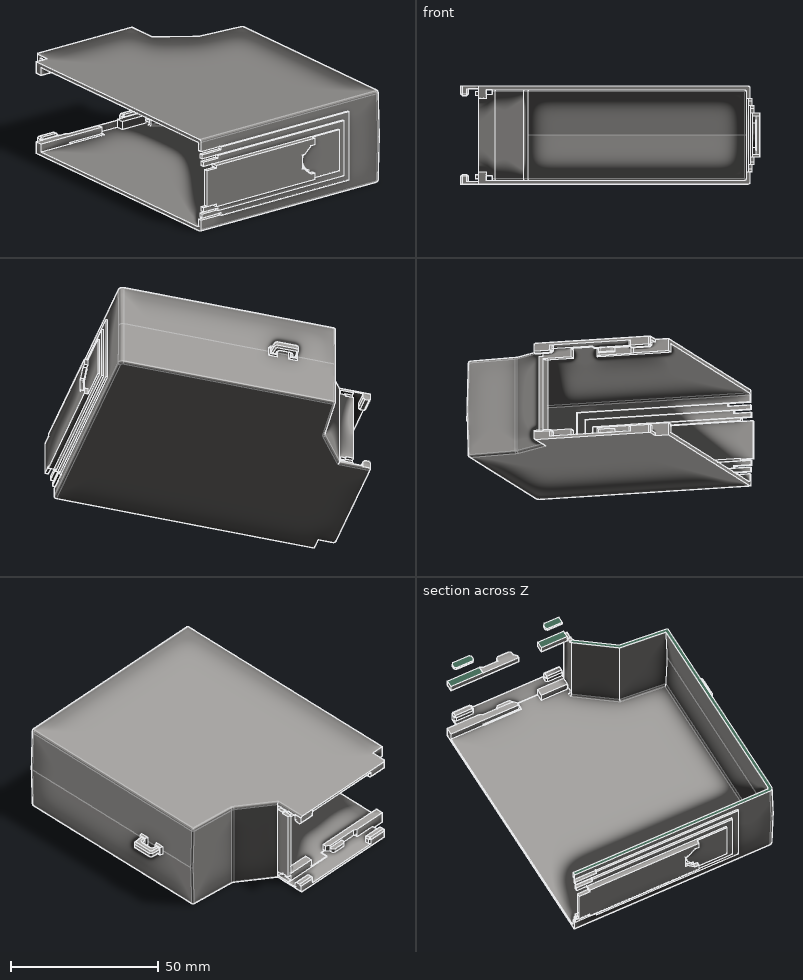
import cadquery as cq

HEIGHT = 33.4
HALF_HEIGHT = HEIGHT / 2
WALL = 1.3
BODY_RIGHT = 98.2
BACK_EDGE_Y = 76.4
BACK_PEAK_Y = 76.9
SHOULDER_Y = 46.0
LEDGE_CORNER_X = 11.0
SLOPE_TOP = (20.0, 58.6)
BACK_LEFT_X = 21.6
BACK_RIGHT_RADIUS = 1.5
BACK_LEFT_RADIUS = 0.6
SLOPE_TOP_RADIUS = 1.5
OUTER_EDGE_RADIUS = 0.8
INNER_EDGE_RADIUS = 0.6
OVERSHOOT = 5.1

FRAME_X = 6.0
LIP_Y = 4.7
LIP_THICKNESS = 0.96
LIP_CHAMFER = 0.6

HOOK_DEPTH = 2.6
HOOK_HEIGHT = 3.3
FRONT_HOOK_END = 12.3
REAR_HOOK_START = 39.7

RAIL_WIDTH = 2.7
RAIL_HALF_GAP = 12.5
REAR_RAIL_SPAN = (34.7, SHOULDER_Y - WALL)
FRONT_RAIL_LENGTH = 12.4

ARM_END = 26.1
ARM_SETBACK = 0.6
ARM_SLOPE = 1.1
ARM_FACE = 14.8
ARM_RELIEF_END = 27.1
TAB_SPAN = (19.2, ARM_END - ARM_SLOPE)
TAB_X = 5.0
TAB_HALF_GAP = 13.4
TAB_RADIUS = 1.0

LEDGE_HALF_WIDTH = 13.3
LEDGE_NOTCH_HALF_GAP = 13.8
LEDGE_NOTCH_END_X = 10.6

STEPS = (
    (RAIL_HALF_GAP, 98.8, 62.6, 8.1),
    (10.0, 99.5, 59.9, 6.2),
    (7.5, 100.1, 57.5, 4.1),
)
STEP_WALL = 1.2
STEP_SIDE = 0.96
PANEL_X = 101.4
PANEL_HALF_WIDTH = STEPS[-1][0]
TONGUE_EDGE_Y = 44.5
TONGUE_RADIUS = 4.6
TONGUE_TIP_Y = 41.8
WINDOW_Y = 40.9
WINDOW_SHOULDER_Y = 41.7
WINDOW_HALF_TIP = 2.5
WINDOW_HALF_BASE = 5.2

LOOP_CENTER_X = 40.4
LOOP_TOP_Y = 81.7
LOOP_BASE_WIDTH = 9.4
LOOP_TOP_WIDTH = 8.3
LOOP_HALF_THICKNESS = 1.3
LOOP_CORNER = 1.0
LOOP_CHAMFER = 0.6
LOOP_HOLE_WIDTH = 4.8
LOOP_HOLE_TOP_Y = 79.3
LOOP_HOLE_RADIUS = 0.8
FOOT_TOP_Y = 77.9
FOOT_HALF_THICKNESS = 1.6
FOOT_FLARE = 0.6


def block(x_span, y_span, z_span):
    """Axis-aligned box between three pairs of limits."""
    size = [high - low for low, high in (x_span, y_span, z_span)]
    return cq.Workplane("XY").box(*size, centered=False).translate((x_span[0], y_span[0], z_span[0]))


def mirrored(solid):
    """The solid together with its copy on the other side of Z = 0."""
    return solid.union(solid.mirror("XY"))


def tented(plan, half_height, edge_y, peak_y):
    """Extrude a plan symmetrically in Z and slope its back face to a peak at Z = 0."""
    prism = plan.extrude(half_height, both=True)
    profile = (
        cq.Workplane("YZ", origin=(-OVERSHOOT, 0, 0))
        .polyline([
            (-OVERSHOOT, -half_height), (edge_y, -half_height), (peak_y, 0),
            (edge_y, half_height), (-OVERSHOOT, half_height),
        ])
        .close()
        .extrude(PANEL_X + 2 * OVERSHOOT)
    )
    return prism.intersect(profile)


def plan_outline(left_x, front_y, inset):
    """Housing plan; the back wall stands past its peak until it is sloped."""
    outline = (
        cq.Workplane("XY")
        .polyline([
            (left_x, front_y), (BODY_RIGHT, front_y), (BODY_RIGHT, BACK_PEAK_Y), (BACK_LEFT_X, BACK_PEAK_Y),
            SLOPE_TOP, (LEDGE_CORNER_X, SHOULDER_Y), (left_x, SHOULDER_Y),
        ])
        .close()
    )
    return outline.offset2D(-inset, "intersection") if inset else outline


def round_plate_edges(solid, radius):
    """Round the edges between the two side plates and the right, back and left walls."""
    plates = solid.faces("<Z or >Z").edges("not(<X or <Y)")
    return solid.newObject(plates.vals()).fillet(radius)


def round_upright(solid, corner, radius):
    """Round the upright edges that pass close to a plan point."""
    x, y = corner
    low = (x - WALL, y - WALL, -HALF_HEIGHT)
    high = (x + WALL, y + WALL, HALF_HEIGHT)
    near = cq.selectors.BoxSelector(low, high)
    return solid.edges("(not #Z) and (not |X)").edges(near).fillet(radius)


def housing():
    outer = tented(plan_outline(0, 0, 0), HALF_HEIGHT, BACK_EDGE_Y, BACK_PEAK_Y)
    for corner, radius in (
        ((BODY_RIGHT, BACK_PEAK_Y), BACK_RIGHT_RADIUS),
        ((BACK_LEFT_X, BACK_PEAK_Y), BACK_LEFT_RADIUS),
        (SLOPE_TOP, SLOPE_TOP_RADIUS),
    ):
        outer = round_upright(outer, corner, radius)
    outer = round_plate_edges(outer, OUTER_EDGE_RADIUS)
    cavity = tented(
        plan_outline(-OVERSHOOT, -OVERSHOOT, WALL), HALF_HEIGHT - WALL, BACK_EDGE_Y - WALL, BACK_PEAK_Y - WALL
    )
    cavity = round_upright(cavity, (BODY_RIGHT - WALL, BACK_PEAK_Y - WALL), INNER_EDGE_RADIUS)
    cavity = round_plate_edges(cavity, INNER_EDGE_RADIUS)
    shell = outer.cut(cavity)

    front_corner = (
        cq.Workplane("XY")
        .polyline([
            (-OVERSHOOT, -OVERSHOOT), (FRAME_X, -OVERSHOOT), (FRAME_X, LIP_Y), (LIP_CHAMFER, LIP_Y),
            (0, LIP_Y + LIP_CHAMFER), (-OVERSHOOT, LIP_Y + LIP_CHAMFER),
        ])
        .close()
        .extrude(HALF_HEIGHT, both=True)
    )
    lip_inside = HALF_HEIGHT - LIP_THICKNESS
    lip_gap = block((-OVERSHOOT, FRAME_X), (0, SHOULDER_Y + OVERSHOOT), (-lip_inside, lip_inside))
    return shell.cut(front_corner).cut(lip_gap)


def hooks():
    x_span = (0, HOOK_DEPTH)
    z_span = (HALF_HEIGHT - HOOK_HEIGHT, HALF_HEIGHT - LIP_THICKNESS / 2)
    front = block(x_span, (LIP_Y, FRONT_HOOK_END), z_span)
    front = front.edges("|Z or <Z").chamfer(LIP_CHAMFER)
    rear = block(x_span, (REAR_HOOK_START, SHOULDER_Y), z_span)
    rear = rear.edges("(|Z or <Z) and (not >Y)").chamfer(LIP_CHAMFER)
    return mirrored(front.union(rear))


def rails():
    x_span = (FRAME_X, FRAME_X + RAIL_WIDTH)
    z_span = (RAIL_HALF_GAP, HALF_HEIGHT - WALL / 2)
    rear = block(x_span, REAR_RAIL_SPAN, z_span)
    front = block(x_span, (0, FRONT_RAIL_LENGTH), z_span)
    return mirrored(rear.union(front))


def snap_arms():
    arm_x = FRAME_X + ARM_SETBACK
    rail_back = FRAME_X + RAIL_WIDTH
    arm = (
        cq.Workplane("XY", origin=(0, 0, RAIL_HALF_GAP))
        .polyline([
            (FRAME_X, FRONT_RAIL_LENGTH), (rail_back, FRONT_RAIL_LENGTH), (rail_back, ARM_END),
            (arm_x + ARM_SLOPE, ARM_END), (arm_x, ARM_END - ARM_SLOPE),
            (arm_x, FRONT_RAIL_LENGTH + ARM_SLOPE),
        ])
        .close()
        .extrude(ARM_FACE - RAIL_HALF_GAP)
    )
    tab = block((TAB_X, rail_back), TAB_SPAN, (TAB_HALF_GAP, ARM_FACE))
    tab = tab.edges("|Z and <X").fillet(TAB_RADIUS)
    return mirrored(arm.union(tab))


def arm_reliefs():
    """Thinned plate under each snap arm."""
    return mirrored(block(
        (FRAME_X, FRAME_X + RAIL_WIDTH), (FRONT_RAIL_LENGTH, ARM_RELIEF_END),
        (ARM_FACE, HALF_HEIGHT - LIP_THICKNESS),
    ))


def ledge_notches():
    y_span = (SHOULDER_Y - 2 * WALL, SHOULDER_Y + WALL)
    top = HALF_HEIGHT - WALL
    tip = block((FRAME_X, FRAME_X + RAIL_WIDTH), y_span, (LEDGE_HALF_WIDTH, top))
    gap = block((FRAME_X + RAIL_WIDTH, LEDGE_NOTCH_END_X), y_span, (LEDGE_NOTCH_HALF_GAP, top))
    return mirrored(tip.union(gap))


def stepped_wall(body):
    """Step the right wall outwards towards mid height as a thin folded sheet."""
    inside_x = BODY_RIGHT - WALL
    for half_width, outer_x, back_y, _ in STEPS:
        body = body.union(block((inside_x, outer_x), (0, back_y), (-half_width, half_width)))
    body = body.union(block((inside_x, PANEL_X), (0, SHOULDER_Y), (-PANEL_HALF_WIDTH, PANEL_HALF_WIDTH)))

    for half_width, outer_x, back_y, _ in STEPS:
        body = body.cut(block(
            (inside_x - WALL, outer_x - STEP_WALL), (-OVERSHOOT, back_y - STEP_SIDE),
            (-half_width, half_width)
        ))
    half_inside = PANEL_HALF_WIDTH - STEP_SIDE
    panel_inside = block(
        (inside_x, PANEL_X - STEP_WALL), (-OVERSHOOT, TONGUE_EDGE_Y), (-half_inside, half_inside)
    )
    body = body.cut(panel_inside)

    for half_width, _, _, slot_length in STEPS:
        slot = block(
            (inside_x - WALL, PANEL_X), (-OVERSHOOT, slot_length), (half_width - STEP_SIDE, half_width)
        )
        body = body.cut(mirrored(slot))
    return body


def latch_window(body):
    """Window in the top of the panel, with a round tongue hanging behind it."""
    tongue_face = STEPS[-1][1]
    window = (
        cq.Workplane("YZ", origin=(tongue_face, 0, 0))
        .polyline([
            (WINDOW_Y, -WINDOW_HALF_TIP), (WINDOW_SHOULDER_Y, -WINDOW_HALF_TIP),
            (TONGUE_EDGE_Y, -WINDOW_HALF_BASE), (SHOULDER_Y, -WINDOW_HALF_BASE),
            (SHOULDER_Y, WINDOW_HALF_BASE), (TONGUE_EDGE_Y, WINDOW_HALF_BASE),
            (WINDOW_SHOULDER_Y, WINDOW_HALF_TIP), (WINDOW_Y, WINDOW_HALF_TIP),
        ])
        .close()
        .extrude(PANEL_X - tongue_face)
    )
    tongue = (
        cq.Workplane("YZ", origin=(tongue_face - STEP_WALL, 0, 0))
        .center(TONGUE_TIP_Y + TONGUE_RADIUS, 0)
        .circle(TONGUE_RADIUS)
        .extrude(STEP_WALL)
    )
    return body.cut(window).union(tongue)


def loop():
    base_y = BACK_PEAK_Y - WALL / 2
    half_base = LOOP_BASE_WIDTH / 2
    half_top = LOOP_TOP_WIDTH / 2
    half_hole = LOOP_HOLE_WIDTH / 2
    at_loop = cq.Workplane("XY", origin=(LOOP_CENTER_X, 0, 0))
    arch = (
        at_loop
        .polyline([
            (-half_base, base_y), (half_base, base_y), (half_top, LOOP_TOP_Y), (-half_top, LOOP_TOP_Y),
        ])
        .close()
        .extrude(LOOP_HALF_THICKNESS, both=True)
        .edges("|Z and >Y")
        .fillet(LOOP_CORNER)
    )
    hole = (
        at_loop
        .center(0, (base_y + LOOP_HOLE_TOP_Y) / 2)
        .rect(LOOP_HOLE_WIDTH, LOOP_HOLE_TOP_Y - base_y)
        .extrude(LOOP_HALF_THICKNESS, both=True)
        .edges("|Z and >Y")
        .fillet(LOOP_HOLE_RADIUS)
    )
    arch = arch.cut(hole).faces("<Z or >Z").chamfer(LOOP_CHAMFER)
    for side in (-1, 1):
        foot = (
            at_loop
            .polyline([
                (side * (half_base + FOOT_FLARE), base_y), (side * half_base, FOOT_TOP_Y),
                (side * half_hole, FOOT_TOP_Y), (side * (half_hole - FOOT_FLARE), base_y),
            ])
            .close()
            .extrude(FOOT_HALF_THICKNESS, both=True)
        )
        arch = arch.union(foot)
    return arch


body = housing().cut(ledge_notches()).cut(arm_reliefs())
body = body.union(hooks()).union(rails()).union(snap_arms())
body = latch_window(stepped_wall(body))
result = body.union(loop())